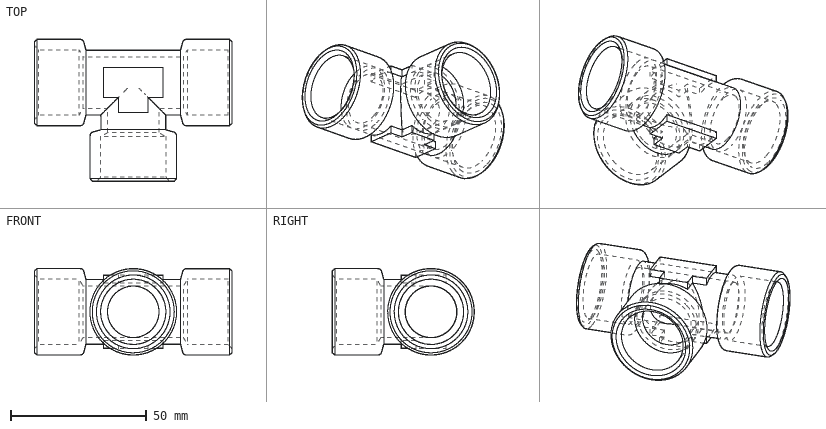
import cadquery as cq
import math

reach = 36.5

neck_radius = 24.0 / 2
waterway_radius = 19.0 / 2

socket_radius = 32.0 / 2
socket_length = 18.0
rim_chamfer_width = 0.85
rim_chamfer_length = 1.05
shoulder_angle = math.radians(15.0)
shoulder_fillet = 1.5

bore_radius = 24.12 / 2
bore_depth = 16.5
mouth_radius = 27.2 / 2
floor_angle = math.radians(60.0)
mouth_angle = math.radians(45.0)

pad_unit = 11.0
pad_bar_length = 2 * pad_unit
pad_height = 27.0

RUN_LEFT = ((0, 1, 0), -90)
RUN_RIGHT = ((0, 1, 0), 90)
BRANCH = ((1, 0, 0), 90)
ARMS = (RUN_LEFT, RUN_RIGHT, BRANCH)


def place(body, arm):
    """Turn a body built along +Z about the crossing so that it lies along an arm."""
    axis, degrees = arm
    return body.rotate((0, 0, 0), axis, degrees)


def revolve_about_z(profile):
    """Close a profile of (radius, distance from crossing) points and revolve it."""
    return profile.close().revolve(360, (0, 0, 0), (0, 1, 0))


def arm_body():
    """Neck and socket, with a sloped, rounded shoulder and a chamfered rim."""
    corner = reach - socket_length
    shoulder_drop = (socket_radius - neck_radius) * math.tan(shoulder_angle)
    setback = shoulder_fillet * math.tan((math.pi / 2 - shoulder_angle) / 2)
    fillet_start = (
        socket_radius - setback * math.cos(shoulder_angle),
        corner - setback * math.sin(shoulder_angle),
    )
    profile = (
        cq.Workplane("XZ")
        .lineTo(neck_radius, 0)
        .lineTo(neck_radius, corner - shoulder_drop)
        .lineTo(*fillet_start)
        .tangentArcPoint((socket_radius, corner + setback), relative=False)
        .lineTo(socket_radius, reach - rim_chamfer_length)
        .lineTo(socket_radius - rim_chamfer_width, reach)
        .lineTo(0, reach)
    )
    return revolve_about_z(profile)


def arm_bore():
    """Waterway that opens through a conical floor into the countersunk socket bore."""
    bore_floor = reach - bore_depth
    floor_length = (bore_radius - waterway_radius) / math.tan(floor_angle)
    mouth_length = (mouth_radius - bore_radius) / math.tan(mouth_angle)
    profile = (
        cq.Workplane("XZ")
        .lineTo(waterway_radius, 0)
        .lineTo(waterway_radius, bore_floor - floor_length)
        .lineTo(bore_radius, bore_floor)
        .lineTo(bore_radius, reach - mouth_length)
        .lineTo(mouth_radius, reach)
        .lineTo(0, reach)
    )
    return revolve_about_z(profile)


def pads():
    """T-shaped block whose top and bottom stand proud of the necks."""
    bar = cq.Workplane("XY").box(pad_bar_length, pad_unit, pad_height)
    stem = cq.Workplane("XY").center(0, -pad_unit / 2).box(pad_unit, pad_unit, pad_height)
    return bar.union(stem)


def neck_run():
    """One continuous neck between the shoulders of the two run sockets."""
    return cq.Workplane("YZ").circle(neck_radius).extrude(reach - socket_length, both=True)


tee = neck_run()
for arm in ARMS:
    tee = tee.union(place(arm_body(), arm))
tee = tee.union(pads())
for arm in ARMS:
    tee = tee.cut(place(arm_bore(), arm))

result = cq.Workplane(tee.solids().val())